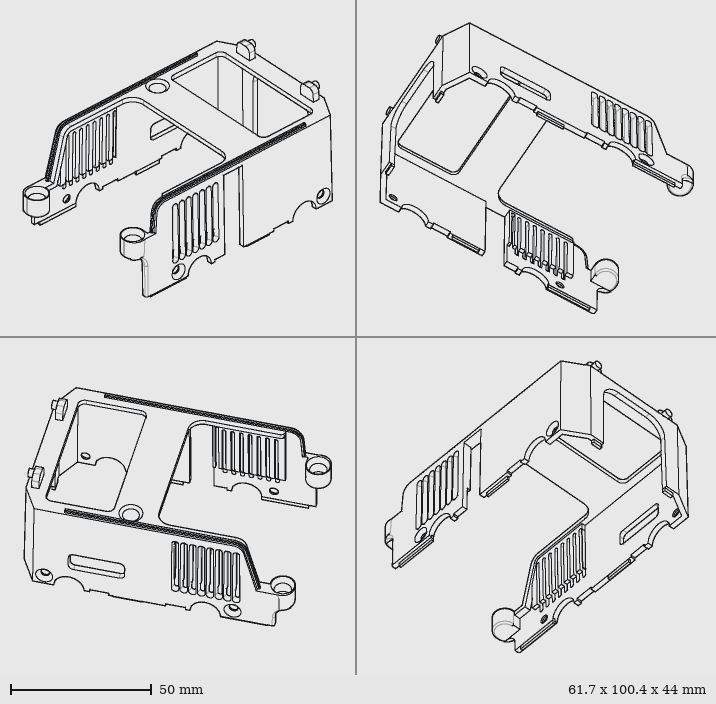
import cadquery as cq
import math

BOTTOM_WIDTH = 61.7
BACK_Y = 50.2
TOP_Z = 37.2
DRAFT = 1.0
WALL = 2.1
SKIN = 2.0
CORNER_X = 9.7
CORNER_ANGLE = 30.0
SPAN = 80.3

WALL_FRONT_Y = -44.0
FRONT_EDGE_RADIUS = 0.8
SHOULDER_RADIUS = 4.0

CUP_RADIUS = 4.5
CUP_HEIGHT = 7.6
CUP_X = 25.5
CUP_STRETCH = 0.6
CUP_Y = -BACK_Y + CUP_RADIUS
CUP_BORE_RADIUS = 3.1
CUP_CONE_RADIUS = 4.2
CUP_CONE_DEPTH = 2.3
CUP_FLOOR = 1.0
CUP_EDGE_RADIUS = 0.7
CUP_WEB_RADIUS = 4.5

LEFT = {"dir": -1, "slope_top_y": -31.8, "slope_foot_y": -37.2, "ledge_z": 16.4}
RIGHT = {"dir": 1, "slope_top_y": -38.2, "slope_foot_y": -39.1, "ledge_z": 25.5}

WINDOW_WIDTH = 50.2
WINDOW_BACK_Y = 41.7
WINDOW_FRONT_Y = 16.7
WINDOW_RADIUS = 2.5
BAY_WIDTH = 52.0
BAY_BACK_Y = 0.8
BAY_RADIUS = 5.2
RAIL_END_Y = -33.1
RAIL_END_RADIUS = 1.6
DIMPLE_X, DIMPLE_Y = -23.9, 10.3
DIMPLE_TOP_RADIUS = 4.2
DIMPLE_FLOOR_RADIUS = 3.0
DIMPLE_DEPTH = 1.0

ARCH_WIDTH = 30.3
ARCH_TOP_Z = 33.0
ARCH_RADIUS = 7.2

RIB_X = 28.76
RIB_WIDTH = 1.3
RIB_HEIGHT = 1.0
RIB_CHAMFER = 0.3
RIB_BACK_Y = 33.2

VENT_COUNT = 8
VENT_PITCH = 3.19
VENT_FIRST_Y = -7.5
VENT_BOTTOM_Z = 8.4
VENT_TOP_Z = 34.0
VENT_WIDTH = 2.8
VENT_NECK_WIDTH = 1.3
WALL_CLEARANCE = 0.3
SIDE_WINDOW_DRAFT = 7.0
PAD_THICKNESS = 3.5
PAD_BOTTOM_Z = 12.4
PAD_BACK_Y = -6.6
PAD_POCKET_WIDTH = 1.3

GAP_BACK_Y = 2.3
SIDE_WINDOW_Y = 21.3
SIDE_WINDOW_Z = 13.5
SIDE_WINDOW_LENGTH = 20.7
SIDE_WINDOW_HEIGHT = 7.5
SIDE_WINDOW_RADIUS = 2.0
SCREW_YS = (40.3, -28.6)
SCREW_Z = 4.0
SCREW_RADIUS = 1.6
SCREW_HEAD_RADIUS = 3.1
AXLE_YS = (31.3, -18.6)
AXLE_RADIUS = 5.5
FOOT_NOTCHES = ((16.8, 23.7), (-11.3, -4.1))
FOOT_NOTCH_HEIGHT = 1.0

TAB_DROP = 1.6
SIDE_TABS = ((4.7, 15.6), (-41.2, -24.0))
SIDE_TAB_INNER_X, SIDE_TAB_OUTER_X = 28.8, 29.7
BACK_TAB_OUTER_X = 19.1
BACK_TAB_FRONT_Y = BACK_Y - WALL
BACK_TAB_BACK_Y = 49.3

HOOK_X = 17.0
HOOK_WIDTH = 7.0
HOOK_TOP_WIDTH = 6.4
HOOK_TOP_Z = 42.4
HOOK_FRONT_Y, HOOK_BACK_Y = 44.9, 47.6
HOOK_RADIUS = 2.0
PIN_RADIUS = 1.56
PIN_END_Y = 49.5


def box(x0, x1, y0, y1, z0, z1):
    return cq.Workplane("XY").box(x1 - x0, y1 - y0, z1 - z0, centered=False).translate((x0, y0, z0))


def draft_shift(z):
    """Distance the drafted walls have moved inwards at height z."""
    return z * math.tan(math.radians(DRAFT))


def drafted_block(inset):
    """Block with clipped back corners, drafted inwards, set in by `inset` from the outer walls."""
    half = BOTTOM_WIDTH / 2
    corner_y = BACK_Y - CORNER_X * math.tan(math.radians(CORNER_ANGLE))
    outline = [
        (-half, -SPAN),
        (-half, corner_y),
        (-half + CORNER_X, BACK_Y),
        (half - CORNER_X, BACK_Y),
        (half, corner_y),
        (half, -SPAN),
    ]
    sketch = cq.Workplane("XY").polyline(outline).close()
    if inset:
        sketch = sketch.offset2D(-inset, "intersection")
    return sketch.extrude(TOP_Z, taper=DRAFT)


def side_range(side):
    """X range from the middle of the part to beyond the given side."""
    return (-SPAN, 0) if side["dir"] < 0 else (0, SPAN)


def roof_line(side, drop=0.0):
    """Region below the roof, the sloped front edge and the ledge of one side, lowered by `drop`."""
    x0, x1 = side_range(side)
    outline = [
        (SPAN, -SPAN),
        (SPAN, TOP_Z),
        (side["slope_top_y"], TOP_Z),
        (side["slope_foot_y"], side["ledge_z"]),
        (-SPAN, side["ledge_z"]),
        (-SPAN, -SPAN),
    ]
    sketch = cq.Workplane("YZ", origin=(x0, 0, 0)).polyline(outline).close()
    if drop:
        sketch = sketch.offset2D(-drop, "intersection")
    solid = sketch.extrude(x1 - x0)
    reach = 1 + abs(drop)
    shoulder = cq.selectors.BoxSelector(
        (x0 - 1, side["slope_top_y"] - reach, TOP_Z - reach),
        (x1 + 1, side["slope_top_y"] + reach, TOP_Z + reach),
    )
    return solid.edges("|X").edges(shoulder).fillet(SHOULDER_RADIUS - drop)


def under_cup(side):
    """Space in front of one side wall below its cup, with a hollow corner under the cup."""
    x0, x1 = side_range(side)
    cup_bottom = side["ledge_z"] - CUP_HEIGHT
    lean = CUP_WEB_RADIUS * (1 - math.sqrt(0.5))
    return (
        cq.Workplane("YZ", origin=(x0, 0, 0))
        .moveTo(WALL_FRONT_Y, -SPAN)
        .lineTo(WALL_FRONT_Y, cup_bottom - CUP_WEB_RADIUS)
        .threePointArc(
            (WALL_FRONT_Y - lean, cup_bottom - lean),
            (WALL_FRONT_Y - CUP_WEB_RADIUS, cup_bottom),
        )
        .lineTo(-SPAN - 1, cup_bottom)
        .lineTo(-SPAN - 1, -SPAN)
        .close()
        .extrude(x1 - x0)
    )


def cup_column(side, z, height):
    """Upright column with the outer plan of a cup, stretched towards the wall."""
    x = side["dir"] * (CUP_X + CUP_STRETCH / 2)
    plan = cq.Workplane("XY", origin=(x, CUP_Y, z)).slot2D(2 * CUP_RADIUS + CUP_STRETCH, 2 * CUP_RADIUS)
    return plan.extrude(height)


def outer_half(side):
    """Solid half of the outer shape, from the middle of the part to one side."""
    half = drafted_block(0).intersect(roof_line(side)).cut(under_cup(side))
    wall_x = side["dir"] * BOTTOM_WIDTH / 2
    front_edge = cq.selectors.BoxSelector(
        (wall_x - 1, WALL_FRONT_Y - 1, 0),
        (wall_x + 1, WALL_FRONT_Y + 1, side["ledge_z"] - CUP_HEIGHT - CUP_WEB_RADIUS),
    )
    half = half.edges(front_edge).edges("not #Z").fillet(FRONT_EDGE_RADIUS)
    under_cup_z = side["ledge_z"] - CUP_HEIGHT + CUP_EDGE_RADIUS
    footprint = cup_column(side, 0, under_cup_z)
    beyond_cup = box(-SPAN, SPAN, -SPAN - 1, CUP_Y, -1, SPAN).cut(footprint)
    return half.cut(beyond_cup)


def make_shell():
    cavity = drafted_block(WALL)
    under_roof = box(0, SPAN, -SPAN, SPAN, -1, TOP_Z - SKIN)
    cavity = cavity.intersect(roof_line(LEFT, SKIN).union(under_roof))
    return outer_half(LEFT).union(outer_half(RIGHT)).cut(cavity)


def roof_openings():
    window = box(
        -WINDOW_WIDTH / 2, WINDOW_WIDTH / 2, WINDOW_FRONT_Y, WINDOW_BACK_Y, TOP_Z - SKIN, TOP_Z + 1
    ).edges("|Z").fillet(WINDOW_RADIUS)
    bay = box(
        -BAY_WIDTH / 2, BAY_WIDTH / 2, -SPAN, BAY_BACK_Y, -1, TOP_Z + 1
    ).edges("|Z and >Y").fillet(BAY_RADIUS)
    dimple = (
        cq.Workplane("XY", origin=(DIMPLE_X, DIMPLE_Y, TOP_Z - DIMPLE_DEPTH))
        .circle(DIMPLE_FLOOR_RADIUS)
        .workplane(offset=DIMPLE_DEPTH)
        .circle(DIMPLE_TOP_RADIUS)
        .loft()
    )
    return window.union(bay).union(dimple)


def right_rail_end():
    """Space in front of the right roof rail, with the rounded rail corner left standing."""
    beyond_rail = box(0, SPAN, -SPAN, RAIL_END_Y, -1, TOP_Z + 1)
    rail_x = BAY_WIDTH / 2
    corner = box(
        rail_x, rail_x + RAIL_END_RADIUS, RAIL_END_Y, RAIL_END_Y + RAIL_END_RADIUS, -1, TOP_Z + 1
    )
    round_end = (
        cq.Workplane("XY", origin=(rail_x + RAIL_END_RADIUS, RAIL_END_Y + RAIL_END_RADIUS, -1))
        .circle(RAIL_END_RADIUS)
        .extrude(TOP_Z + 2)
    )
    return drafted_block(WALL).intersect(beyond_rail.union(corner.cut(round_end)))


def vent_pad(side):
    """Thicker stretch of one side wall around the vents."""
    x0, x1 = side_range(side)
    stretch = box(x0, x1, RAIL_END_Y, PAD_BACK_Y, PAD_BOTTOM_Z, TOP_Z - SKIN / 2)
    pad = drafted_block(WALL / 2).cut(drafted_block(PAD_THICKNESS))
    return pad.intersect(stretch).intersect(roof_line(side, SKIN / 2))


def side_plane(side, y, z):
    """Workplane at (y, z) facing into the part, just clear of the drafted wall around it."""
    x = side["dir"] * (BOTTOM_WIDTH / 2 - draft_shift(z) + WALL_CLEARANCE)
    return cq.Workplane(cq.Plane((x, y, z), (0, 1, 0), (-side["dir"], 0, 0)))


def vents(side, first):
    """Vent slots from number `first` on: narrowing through the wall, then straight through the pad."""
    height = VENT_TOP_Z - VENT_BOTTOM_Z
    middle = (VENT_TOP_Z + VENT_BOTTOM_Z) / 2
    narrowing = VENT_WIDTH - VENT_NECK_WIDTH
    depth = WALL + WALL_CLEARANCE
    slope = math.degrees(math.atan(narrowing / 2 / depth))
    cutter = cq.Workplane("XY")
    for i in range(first, VENT_COUNT):
        plane = side_plane(side, VENT_FIRST_Y - i * VENT_PITCH, middle)
        mouth = plane.slot2D(height, VENT_WIDTH, 90).extrude(depth, taper=slope)
        neck = plane.slot2D(height - narrowing, VENT_NECK_WIDTH, 90).extrude(2 * PAD_THICKNESS)
        cutter = cutter.union(mouth).union(neck)
    return cutter


def pad_pocket():
    """Pocket in the right pad where the first vent stops short of the outer wall."""
    half = PAD_POCKET_WIDTH / 2
    y = VENT_FIRST_Y - half
    pocket = box(0, SPAN, y - half, y + half, 0, VENT_TOP_Z)
    return pocket.intersect(drafted_block(WALL))


def side_window():
    return (
        side_plane(LEFT, SIDE_WINDOW_Y, SIDE_WINDOW_Z)
        .sketch()
        .rect(SIDE_WINDOW_LENGTH, SIDE_WINDOW_HEIGHT)
        .vertices()
        .fillet(SIDE_WINDOW_RADIUS)
        .finalize()
        .extrude(2 * WALL, taper=SIDE_WINDOW_DRAFT)
    )


def wall_screws(side):
    cutter = cq.Workplane("XY")
    mouth_radius = SCREW_HEAD_RADIUS + WALL_CLEARANCE
    depth = mouth_radius - SCREW_RADIUS
    for y in SCREW_YS:
        plane = side_plane(side, y, SCREW_Z)
        head = plane.circle(mouth_radius).workplane(offset=depth).circle(SCREW_RADIUS).loft()
        hole = side_plane(side, y, SCREW_Z).circle(SCREW_RADIUS).extrude(2 * WALL)
        cutter = cutter.union(head).union(hole)
    return cutter


def bottom_cutouts():
    """Axle arches and shallow notches along the bottom edge, through both side walls."""
    cutter = (
        cq.Workplane("YZ", origin=(-SPAN, 0, 0))
        .pushPoints([(y, 0) for y in AXLE_YS])
        .circle(AXLE_RADIUS)
        .extrude(2 * SPAN)
    )
    for y0, y1 in FOOT_NOTCHES:
        cutter = cutter.union(box(-SPAN, SPAN, y0, y1, -1, FOOT_NOTCH_HEIGHT))
    return cutter


def tapered_plate(bottom_half, top_half, y0, y1, z0, z1, radius):
    """Plate from y0 to y1 with leaning sides and both top corners rounded."""
    outline = [(-bottom_half, z0), (-top_half, z1), (top_half, z1), (bottom_half, z0)]
    plate = cq.Workplane("XZ", origin=(0, y1, 0)).polyline(outline).close().extrude(y1 - y0)
    return plate.edges("|Y and >Z").fillet(radius)


def back_arch():
    half = ARCH_WIDTH / 2
    top_half = half - draft_shift(ARCH_TOP_Z)
    return tapered_plate(half, top_half, BACK_Y - 2 * WALL, BACK_Y + 1, -1, ARCH_TOP_Z, ARCH_RADIUS)


def cup(side):
    """Screw cup at the front end of one wall, with a web that joins it to the wall."""
    x = side["dir"] * CUP_X
    bottom = side["ledge_z"] - CUP_HEIGHT
    web_end = side["dir"] * (BOTTOM_WIDTH / 2 - WALL / 2)
    body = cup_column(side, bottom, CUP_HEIGHT).faces("<Z").edges().fillet(CUP_EDGE_RADIUS)
    return body.union(
        box(min(x, web_end), max(x, web_end), CUP_Y, CUP_Y + CUP_RADIUS, bottom, side["ledge_z"])
    )


def cup_bore(side):
    depth = CUP_HEIGHT - CUP_FLOOR
    top = cq.Workplane("XY", origin=(side["dir"] * CUP_X, CUP_Y, side["ledge_z"]))
    cone = top.circle(CUP_CONE_RADIUS).workplane(offset=-CUP_CONE_DEPTH).circle(CUP_BORE_RADIUS).loft()
    return top.circle(CUP_BORE_RADIUS).extrude(-depth).union(cone)


def rib(side):
    """Chamfered rib standing on the roof line of one side and ending at the ledge."""
    x0 = side["dir"] * RIB_X - RIB_WIDTH / 2
    slope_run = (side["slope_foot_y"] - side["slope_top_y"]) / (TOP_Z - side["ledge_z"])
    below_ledge = side["ledge_z"] / 2
    full_slope = {
        "dir": side["dir"],
        "slope_top_y": side["slope_top_y"],
        "slope_foot_y": side["slope_foot_y"] + slope_run * below_ledge,
        "ledge_z": side["ledge_z"] - below_ledge,
    }
    raised = roof_line(full_slope, -RIB_HEIGHT).intersect(
        box(x0, x0 + RIB_WIDTH, -SPAN + 1, SPAN - 1, -SPAN + 1, SPAN)
    )
    crest = cq.selectors.BoxSelector((-SPAN, -SPAN / 2 - 1, below_ledge + 2), (SPAN, SPAN, SPAN))
    raised = raised.faces("<X or >X").edges(crest).chamfer(RIB_CHAMFER)
    reach = box(x0, x0 + RIB_WIDTH, -SPAN, RIB_BACK_Y, side["ledge_z"], SPAN)
    return raised.intersect(reach).cut(roof_line(side))


def tabs(direction):
    """Locating tabs below one side wall and one leg of the back wall."""
    overlap = FOOT_NOTCH_HEIGHT
    spans = [(SIDE_TAB_INNER_X, SIDE_TAB_OUTER_X, y0, y1) for y0, y1 in SIDE_TABS]
    spans.append((ARCH_WIDTH / 2, BACK_TAB_OUTER_X, BACK_TAB_FRONT_Y, BACK_TAB_BACK_Y))
    made = cq.Workplane("XY")
    for x0, x1, y0, y1 in spans:
        xs = sorted((direction * x0, direction * x1))
        made = made.union(box(xs[0], xs[1], y0, y1, -TAB_DROP, overlap))
    return made


def hook(direction):
    x = direction * HOOK_X
    block = tapered_plate(
        HOOK_WIDTH / 2, HOOK_TOP_WIDTH / 2, HOOK_FRONT_Y, HOOK_BACK_Y, TOP_Z - SKIN / 2, HOOK_TOP_Z, HOOK_RADIUS
    ).translate((x, 0, 0))
    pin = (
        cq.Workplane("XZ", origin=(x, PIN_END_Y, HOOK_TOP_Z - PIN_RADIUS))
        .circle(PIN_RADIUS)
        .extrude(PIN_END_Y - HOOK_FRONT_Y - HOOK_RADIUS)
    )
    return block.union(pin)


result = make_shell().cut(right_rail_end())
for side in (LEFT, RIGHT):
    result = result.union(vent_pad(side))
result = result.cut(roof_openings()).cut(back_arch()).cut(bottom_cutouts())
result = result.cut(box(0, SPAN, PAD_BACK_Y, GAP_BACK_Y, -1, TOP_Z - SKIN))
result = result.cut(vents(LEFT, 0)).cut(vents(RIGHT, 1)).cut(pad_pocket()).cut(side_window())
for side in (LEFT, RIGHT):
    result = result.union(rib(side)).union(tabs(side["dir"])).union(hook(side["dir"]))
    result = result.cut(wall_screws(side)).union(cup(side)).cut(cup_bore(side))